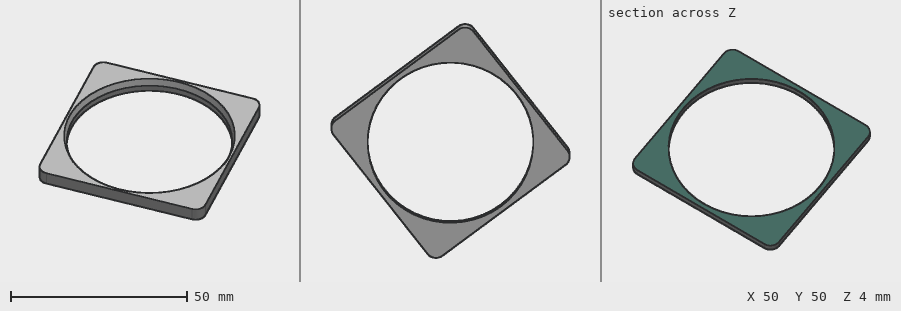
import cadquery as cq

side = 50.0
thickness = 4.0
corner_radius = 3.0

bore_diameter = 47.0
flare_diameter = 48.5
flare_depth = 2.0


def frame_plate():
    """Square plate with rounded vertical corners, resting on Z = 0."""
    plate = cq.Workplane("XY").box(side, side, thickness, centered=(True, True, False))
    return plate.edges("|Z").fillet(corner_radius)


def flared_opening():
    """Revolved cutter: straight bore below, conical flare up to the top face."""
    bore_radius = bore_diameter / 2
    return (
        cq.Workplane("XZ")
        .lineTo(bore_radius, 0)
        .lineTo(bore_radius, thickness - flare_depth)
        .lineTo(flare_diameter / 2, thickness)
        .lineTo(0, thickness)
        .close()
        .revolve(360, (0, 0, 0), (0, 1, 0))
    )


result = frame_plate().cut(flared_opening())